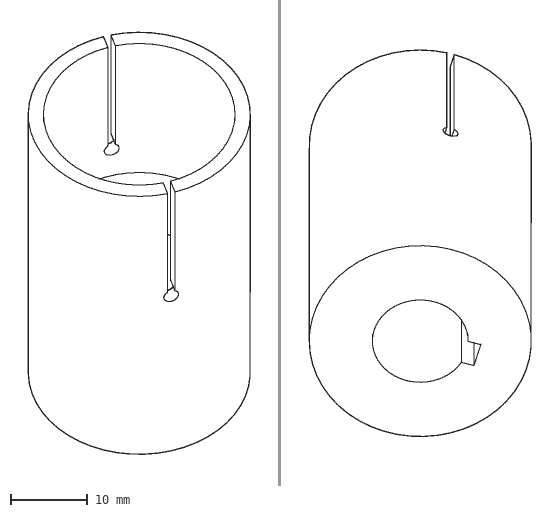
import cadquery as cq
import math

outer_diameter = 29.0
length = 50.0

wide_bore_diameter = 25.0
shaft_bore_diameter = 12.5
wide_bore_depth = length / 2
cone_angle = 118.0
cone_depth = (wide_bore_diameter - shaft_bore_diameter) / 2 / math.tan(math.radians(cone_angle / 2))

keyway_width = 3.3
keyway_top = 7.75

slit_width = 1.0
slit_depth = 20.0
relief_diameter = 2.0

cone_top = length - wide_bore_depth
cone_bottom = cone_top - cone_depth


def make_sleeve():
    """Revolve the wall section about the Z axis."""
    outer_radius = outer_diameter / 2
    wide_radius = wide_bore_diameter / 2
    shaft_radius = shaft_bore_diameter / 2
    section = [
        (shaft_radius, 0),
        (outer_radius, 0),
        (outer_radius, length),
        (wide_radius, length),
        (wide_radius, cone_top),
        (shaft_radius, cone_bottom),
    ]
    return cq.Workplane("XZ").polyline(section).close().revolve(360, (0, 0), (0, 1))


def make_keyway():
    """Bar from the axis to the keyway flat, running up through the cone."""
    return cq.Workplane("XY").box(
        keyway_width, keyway_top, cone_top, centered=(True, False, False)
    )


def make_slits():
    """One cut along X that makes both opposite slits and their relief holes."""
    slit_bottom = length - slit_depth
    slit = cq.Workplane("XY", origin=(0, 0, slit_bottom)).box(
        outer_diameter, slit_width, slit_depth, centered=(True, True, False)
    )
    relief = (
        cq.Workplane("YZ", origin=(0, 0, slit_bottom))
        .circle(relief_diameter / 2)
        .extrude(outer_diameter / 2, both=True)
    )
    return slit.union(relief)


result = make_sleeve().cut(make_keyway()).cut(make_slits())